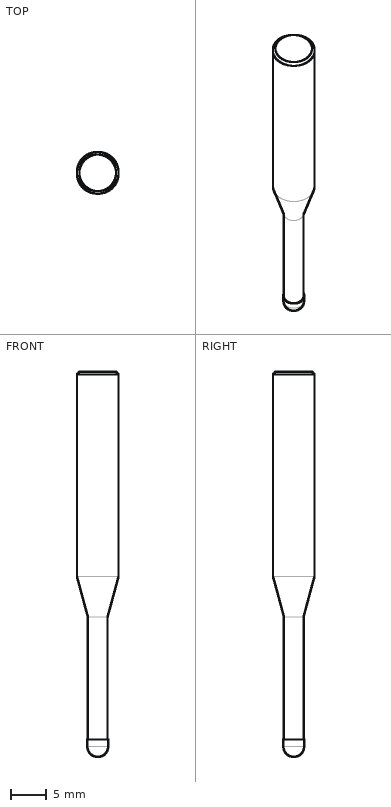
import cadquery as cq
import math

total_length = 55.0
shank_radius = 6.0 / 2
shank_chamfer = 0.4
shank_bottom_z = 25.8
neck_radius = 2.85 / 2
neck_top_z = 20.0
ball_radius = 3.0 / 2
head_top_z = 2.5


def make_holder():
    """Chamfered shank, conical transition and slim neck, as one revolved solid."""
    profile = (
        cq.Workplane("XZ")
        .moveTo(0, head_top_z)
        .lineTo(neck_radius, head_top_z)
        .lineTo(neck_radius, neck_top_z)
        .lineTo(shank_radius, shank_bottom_z)
        .lineTo(shank_radius, total_length - shank_chamfer)
        .lineTo(shank_radius - shank_chamfer, total_length)
        .lineTo(0, total_length)
        .close()
    )
    return profile.revolve(360, (0, 0, 0), (0, 1, 0))


def make_cutting_head():
    """Short cylinder ending in a hemispherical ball nose."""
    arc_offset = ball_radius * math.sqrt(0.5)
    profile = (
        cq.Workplane("XZ")
        .moveTo(0, 0)
        .threePointArc((arc_offset, ball_radius - arc_offset), (ball_radius, ball_radius))
        .lineTo(ball_radius, head_top_z)
        .lineTo(0, head_top_z)
        .close()
    )
    return profile.revolve(360, (0, 0, 0), (0, 1, 0))


holder = make_holder()
cutting_head = make_cutting_head()

result = cq.Compound.makeCompound([holder.val(), cutting_head.val()])